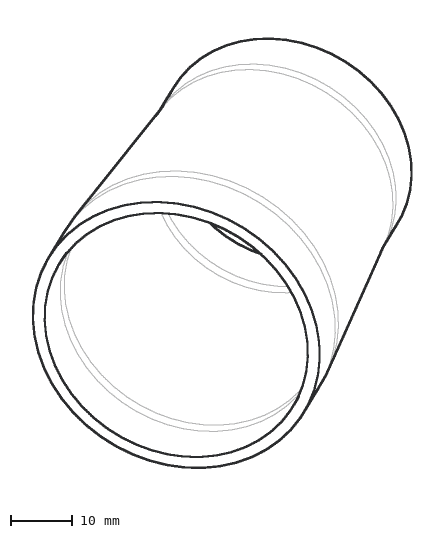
import math

import cadquery as cq

length = 64.0
wide_radius = 48.3 / 2
narrow_radius = 42.4 / 2
wall = 2.0

corner_distance = 10.15
bend_radius = 31.0

taper_angle = math.atan2(wide_radius - narrow_radius, length - 2 * corner_distance)
tangent_length = bend_radius * math.tan(taper_angle / 2)

wide_cylinder_end = corner_distance - tangent_length
cone_start = corner_distance + tangent_length * math.cos(taper_angle)
cone_end = length - cone_start
narrow_cylinder_start = length - wide_cylinder_end
bend_drop = tangent_length * math.sin(taper_angle)


def reducer_body(wide_end_radius, narrow_end_radius):
    """Solid of revolution: cylinder, bend, cone, bend, cylinder, all tangent."""
    half_section = (
        cq.Workplane("YZ")
        .lineTo(0, wide_end_radius)
        .lineTo(wide_cylinder_end, wide_end_radius)
        .tangentArcPoint((cone_start, wide_end_radius - bend_drop), relative=False)
        .lineTo(cone_end, narrow_end_radius + bend_drop)
        .tangentArcPoint((narrow_cylinder_start, narrow_end_radius), relative=False)
        .lineTo(length, narrow_end_radius)
        .lineTo(length, 0)
        .close()
    )
    return half_section.revolve(360, (0, 0), (1, 0))


outside = reducer_body(wide_radius, narrow_radius)
bore = reducer_body(wide_radius - wall, narrow_radius - wall)
result = outside.cut(bore)